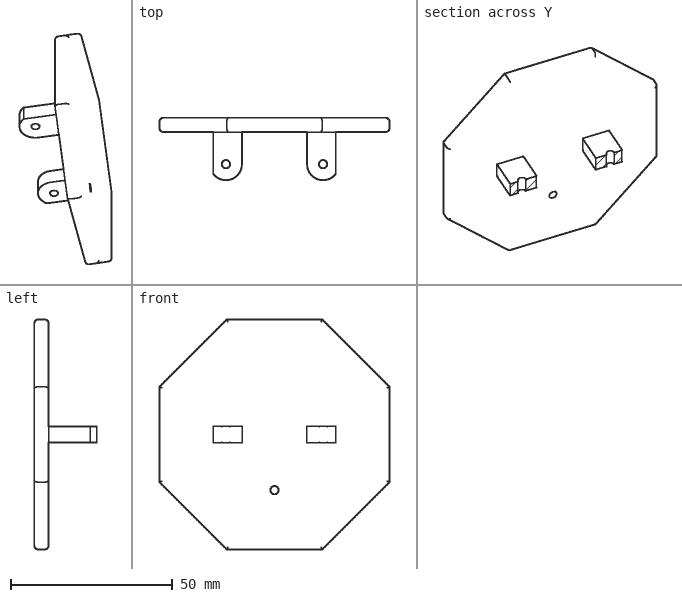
import cadquery as cq
import math

side_count = 8
plate_width = 71.2
plate_thickness = 4.5
edge_radius = 1.3

total_depth = 19.35
lug_reach = total_depth - plate_thickness
lug_height = 5.0
lug_tip_radius = 5.0
lug_outer_offset = 4.0
pin_spacing = 30.05

hole_diameter = 2.5
plate_hole_z = -17.2


def make_plate():
    half_side_angle = 180 / side_count
    corner_diameter = plate_width / math.cos(math.pi / side_count)
    return (
        cq.Workplane("XZ")
        .transformed(rotate=(0, 0, half_side_angle))
        .polygon(side_count, corner_diameter)
        .extrude(-plate_thickness)
        .faces("<Y or >Y")
        .edges()
        .fillet(edge_radius)
    )


def make_right_lug():
    """Lug whose round tip is cut short by its flat outer side."""
    pin_x = pin_spacing / 2
    pin_y = lug_tip_radius - lug_reach
    inner_x = pin_x - lug_tip_radius
    outer_x = pin_x + lug_outer_offset
    arc_drop = math.sqrt(lug_tip_radius**2 - lug_outer_offset**2)
    return (
        cq.Workplane("XY")
        .moveTo(inner_x, 0)
        .lineTo(inner_x, pin_y)
        .threePointArc((pin_x, -lug_reach), (outer_x, pin_y - arc_drop))
        .lineTo(outer_x, 0)
        .close()
        .moveTo(pin_x, pin_y)
        .circle(hole_diameter / 2)
        .extrude(lug_height / 2, both=True)
    )


plate_hole = (
    cq.Workplane("XZ")
    .center(0, plate_hole_z)
    .circle(hole_diameter / 2)
    .extrude(-plate_thickness)
)

right_lug = make_right_lug()
left_lug = right_lug.mirror("YZ")
result = make_plate().cut(plate_hole).union(right_lug).union(left_lug)